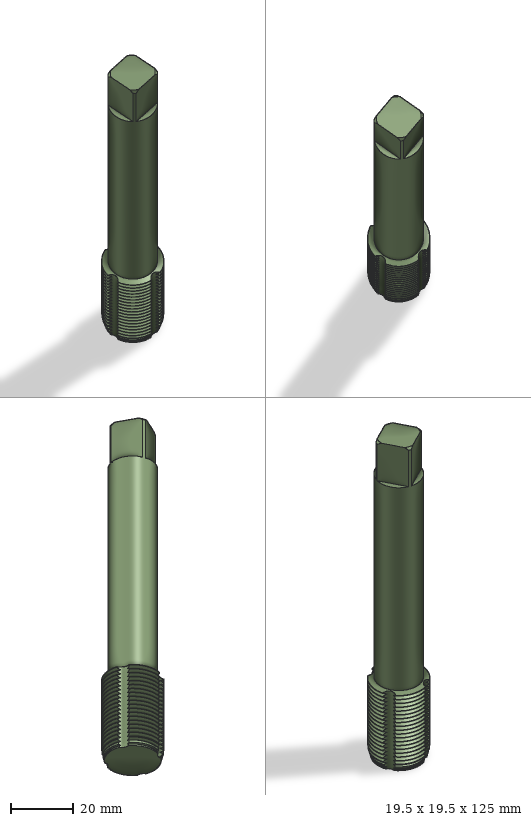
import cadquery as cq
import math

total_length = 125.0
shank_diameter = 16.0
shank_radius = shank_diameter / 2
square_width = 12.0
square_length = 15.0
end_chamfer = 0.8

thread_diameter = 20.0
thread_radius = thread_diameter / 2
pitch = 1.5
groove_count = 20
crest_flat = pitch / 8
flank_height = (pitch - crest_flat) / 2
flank_angle = math.radians(30)
root_radius = thread_radius - flank_height / math.tan(flank_angle)

shoulder_angle = math.radians(15)
shoulder_height = (thread_radius - shank_radius) * math.tan(shoulder_angle)
shoulder_base = groove_count * pitch + crest_flat / 2
head_length = shoulder_base + shoulder_height
lead_height = 3.5
lead_tip_radius = 9.1

flute_count = 4
flute_floor_radius = 8.5
flute_radius = 2.425


def make_shank():
    """Round shank standing on the head, with a square drive at its top."""
    shank_length = total_length - head_length
    shank = (
        cq.Workplane("XY")
        .workplane(offset=head_length)
        .circle(shank_radius)
        .extrude(shank_length)
        .faces(">Z")
        .chamfer(end_chamfer)
    )
    square_base = total_length - square_length
    flats = (
        cq.Workplane("XY")
        .workplane(offset=square_base)
        .circle(shank_diameter)
        .rect(square_width, square_width)
        .extrude(square_length)
    )
    return shank.cut(flats)


def make_grooved_blank():
    """Revolved head with a V groove between every two neighbouring crests."""
    profile = (
        cq.Workplane("XZ")
        .lineTo(thread_radius, 0)
        .lineTo(thread_radius, crest_flat / 2)
    )
    for index in range(groove_count):
        groove_middle = (index + 0.5) * pitch
        profile = (
            profile.lineTo(root_radius, groove_middle)
            .lineTo(thread_radius, groove_middle + flank_height)
            .lineTo(thread_radius, groove_middle + flank_height + crest_flat)
        )
    profile = (
        profile.lineTo(shank_radius, head_length)
        .lineTo(0, head_length)
        .close()
    )
    return profile.revolve(360, (0, 0, 0), (0, 1, 0))


def make_lead_envelope():
    """Cylinder with the cone that tapers the first threads at the tip."""
    return (
        cq.Workplane("XZ")
        .lineTo(lead_tip_radius, 0)
        .lineTo(thread_radius, lead_height)
        .lineTo(thread_radius, head_length)
        .lineTo(0, head_length)
        .close()
        .revolve(360, (0, 0, 0), (0, 1, 0))
    )


def make_threaded_head():
    """Threaded head with its lead taper and flutes."""
    head = make_grooved_blank().intersect(make_lead_envelope())
    flutes = (
        cq.Workplane("XY")
        .polarArray(flute_floor_radius + flute_radius, 0, 360, flute_count)
        .circle(flute_radius)
        .extrude(head_length)
    )
    return head.cut(flutes)


shank = make_shank()
threaded_head = make_threaded_head()
result = cq.Compound.makeCompound([shank.val(), threaded_head.val()])